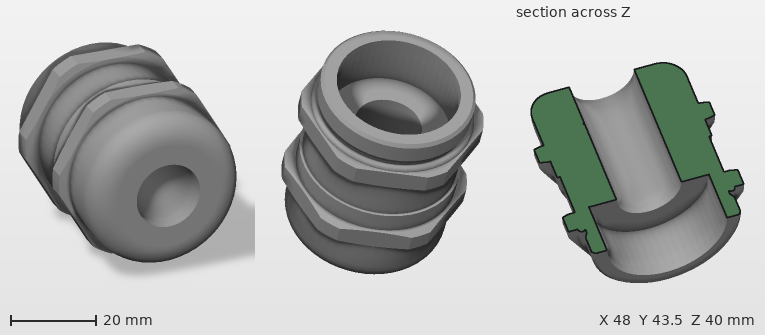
import cadquery as cq
import math

LENGTH = 48.0
THREAD_END = 5.2
COLLAR_START = 8.0
CAP_START = 23.8
NUT_START = 28.8
HEX_WIDTH = 5.0

BODY_RADIUS = 37.0 / 2
RELIEF_RADIUS = 35.5 / 2
CAP_RADIUS = 38.4 / 2
CAP_ROUNDING = 6.0
THREAD_CHAMFER = BODY_RADIUS - RELIEF_RADIUS
RELIEF_SLOPE = math.radians(30)
RELIEF_START = THREAD_END + THREAD_CHAMFER / math.tan(RELIEF_SLOPE)

RING_RADIUS = 18.5
RING_SECTION_RADIUS = 1.0

ACROSS_FLATS = 40.0
ACROSS_CORNERS = 43.5
HEX_CHAMFER_ANGLE = math.radians(15)
HEX_TURN = 30.0

BORE_RADIUS = 29.6 / 2
BORE_DEPTH = 13.3
CABLE_HOLE_RADIUS = 16.0 / 2


def cylinder_x(start, length, radius):
    """Cylinder along X beginning at the given X position."""
    return cq.Workplane("YZ", origin=(start, 0, 0)).circle(radius).extrude(length)


def make_body():
    """Turned outer shape, as a solid of revolution about X."""
    profile = (
        cq.Workplane("XY")
        .moveTo(0, 0)
        .lineTo(0, BODY_RADIUS - THREAD_CHAMFER)
        .lineTo(THREAD_CHAMFER, BODY_RADIUS)
        .lineTo(THREAD_END, BODY_RADIUS)
        .lineTo(RELIEF_START, RELIEF_RADIUS)
        .lineTo(COLLAR_START, RELIEF_RADIUS)
        .lineTo(COLLAR_START, BODY_RADIUS)
        .lineTo(CAP_START, BODY_RADIUS)
        .lineTo(CAP_START, CAP_RADIUS)
        .lineTo(LENGTH - CAP_ROUNDING, CAP_RADIUS)
        .radiusArc((LENGTH, CAP_RADIUS - CAP_ROUNDING), CAP_ROUNDING)
        .lineTo(LENGTH, 0)
        .close()
    )
    return profile.revolve(360, (0, 0, 0), (1, 0, 0))


def make_sealing_ring():
    """O-ring seated against the collar."""
    section = cq.Workplane("XY").center(COLLAR_START, RING_RADIUS).circle(RING_SECTION_RADIUS)
    return section.revolve(360, (0, -RING_RADIUS, 0), (1, -RING_RADIUS, 0))


def make_hexagon(start, chamfer_front):
    """Hexagon with flats facing +Z and -Z, its corners trimmed round and chamfered at the ends."""
    face_radius = ACROSS_FLATS / 2
    corner_radius = ACROSS_CORNERS / 2
    chamfer_length = (corner_radius - face_radius) * math.tan(HEX_CHAMFER_ANGLE)
    end = start + HEX_WIDTH

    prism = (
        cq.Workplane("YZ", origin=(start, 0, 0))
        .transformed(rotate=(0, 0, HEX_TURN))
        .polygon(6, ACROSS_FLATS, circumscribed=True)
        .extrude(HEX_WIDTH)
    )
    envelope = cq.Workplane("XY").moveTo(start, 0)
    if chamfer_front:
        envelope = envelope.lineTo(start, face_radius).lineTo(start + chamfer_length, corner_radius)
    else:
        envelope = envelope.lineTo(start, corner_radius)
    envelope = (
        envelope.lineTo(end - chamfer_length, corner_radius)
        .lineTo(end, face_radius)
        .lineTo(end, 0)
        .close()
        .revolve(360, (0, 0, 0), (1, 0, 0))
    )
    return prism.intersect(envelope)


body = make_body().union(make_sealing_ring())
collar = make_hexagon(COLLAR_START, chamfer_front=False)
nut = make_hexagon(NUT_START, chamfer_front=True)
bore = cylinder_x(0, BORE_DEPTH, BORE_RADIUS)
cable_hole = cylinder_x(0, LENGTH, CABLE_HOLE_RADIUS)

result = body.union(collar).union(nut).cut(bore).cut(cable_hole)